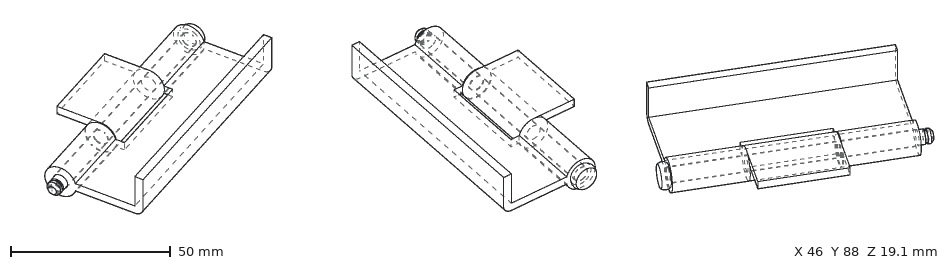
import cadquery as cq

sheet = 3.0
bore_radius = 2.65
barrel_radius = bore_radius + sheet

leaf_length = 80.0
leaf_reach = 30.0
flange_top = 13.5
bend_radius = sheet
window_length = 30.0
window_clearance = 3.0

end_gap = 0.3
swing_length = window_length - end_gap
swing_reach = 16.0
swing_front = -window_length / 2 + end_gap

bore_clearance = 0.15
pin_radius = bore_radius - bore_clearance
head_radius = 4.5
head_length = 3.0
head_bulge = 0.5
head_end_radius = head_radius - head_bulge
tip_length = 5.0
tip_chamfer = 1.0
groove_offset = 2.2
groove_width = 0.8
groove_depth = 0.5


def cylinder(radius, front, length):
    """Cylinder on the hinge axis, starting at y = front and running toward +Y."""
    start = cq.Plane(origin=(0, front, 0), xDir=(0, 0, 1), normal=(0, 1, 0))
    return cq.Workplane(start).circle(radius).extrude(length)


def block(x_min, x_max, front, length, z_min, z_max):
    """Rectangular block given by its X and Z limits, its front face and its length along Y."""
    return cq.Workplane("XY").box(x_max - x_min, length, z_max - z_min, centered=False).translate(
        (x_min, front, z_min)
    )


def make_fixed_leaf():
    front = -leaf_length / 2
    half_sheet = sheet / 2
    plate = block(0, leaf_reach, front, leaf_length, -half_sheet, half_sheet)
    flange = block(leaf_reach - sheet, leaf_reach, front, leaf_length, -half_sheet, flange_top)
    bent_sheet = plate.union(flange).edges("|Y and >X and <Z").fillet(bend_radius)
    leaf = bent_sheet.union(cylinder(barrel_radius, front, leaf_length))
    window = block(
        -barrel_radius,
        barrel_radius + window_clearance,
        -window_length / 2,
        window_length,
        -barrel_radius,
        barrel_radius,
    )
    return leaf.cut(window).cut(cylinder(bore_radius, front, leaf_length))


def make_swinging_leaf():
    barrel = cylinder(barrel_radius, swing_front, swing_length)
    plate = block(-swing_reach, 0, swing_front, swing_length, barrel_radius - sheet, barrel_radius)
    return barrel.union(plate).cut(cylinder(bore_radius, swing_front, swing_length))


def make_pin():
    tip = -leaf_length / 2 - tip_length
    groove_rear = -leaf_length / 2 - groove_offset
    groove_front = groove_rear - groove_width
    groove_radius = pin_radius - groove_depth
    head_front = leaf_length / 2
    head_rear = head_front + head_length
    profile = (
        cq.Workplane("YZ")
        .moveTo(tip, 0)
        .lineTo(tip, pin_radius - tip_chamfer)
        .lineTo(tip + tip_chamfer, pin_radius)
        .lineTo(groove_front, pin_radius)
        .lineTo(groove_front, groove_radius)
        .lineTo(groove_rear, groove_radius)
        .lineTo(groove_rear, pin_radius)
        .lineTo(head_front, pin_radius)
        .lineTo(head_front, head_end_radius)
        .threePointArc((head_front + head_length / 2, head_radius), (head_rear, head_end_radius))
        .lineTo(head_rear, 0)
        .close()
    )
    return profile.revolve(360, (0, 0), (1, 0))


fixed_leaf = make_fixed_leaf()
swinging_leaf = make_swinging_leaf()
pin = make_pin()

result = cq.Compound.makeCompound([fixed_leaf.val(), swinging_leaf.val(), pin.val()])